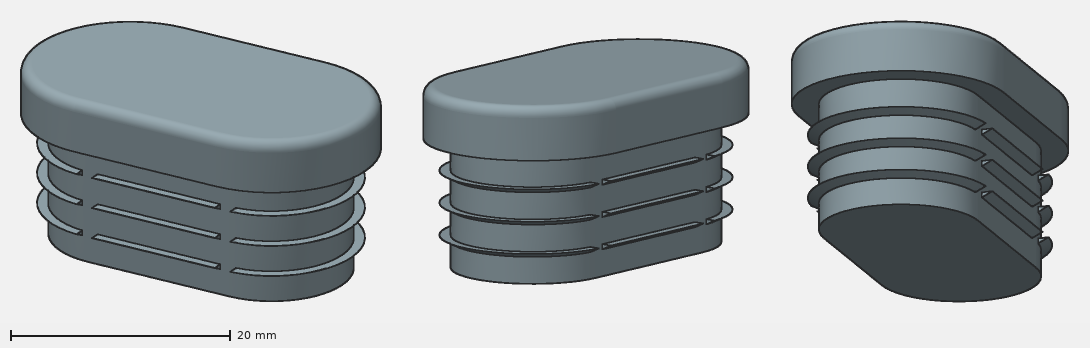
import cadquery as cq

cap_length = 35.0
cap_width = 20.0
cap_height = 5.0
cap_edge_radius = 1.0

plug_inset = 2.5
plug_height = 12.0
plug_length = cap_length - 2 * plug_inset
plug_width = cap_width - 2 * plug_inset
plug_radius = plug_width / 2
end_center_x = (plug_length - plug_width) / 2

fin_count = 3
fin_pitch = 3.0
fin_reach = 1.0
fin_thickness = 0.5
straight_fin_half_length = 6.5
end_fin_start_x = 8.15
fin_root_depth = 0.35


def stadium(length, width, height):
    return cq.Workplane("XY").slot2D(length, width).extrude(height)


def fin_profile(plane, wall, top_z):
    """Fin section on a plane whose second axis is Z, with the plug wall at the given distance."""
    root = wall - fin_root_depth
    bottom_z = top_z - fin_thickness
    points = [(root, bottom_z), (wall, bottom_z), (wall + fin_reach, top_z), (root, top_z)]
    return cq.Workplane(plane).polyline(points).close()


def straight_fin(top_z):
    """Fin along the flat +Y wall."""
    return fin_profile("YZ", plug_radius, top_z).extrude(straight_fin_half_length, both=True)


def end_fin(top_z):
    """Fin around the round +X end, cut off square where the gap begins."""
    ring = fin_profile("XZ", plug_radius, top_z).revolve(360, (0, 0), (0, 1))
    ring = ring.translate((end_center_x, 0, 0))
    kept_region = cq.Workplane("XY").box(
        cap_length, cap_width, plug_height, centered=(False, True, False)
    ).translate((end_fin_start_x, 0, 0))
    return ring.intersect(kept_region)


plug = stadium(plug_length, plug_width, plug_height)
cap = stadium(cap_length, cap_width, cap_height).faces(">Z").edges().fillet(cap_edge_radius)
result = plug.union(cap.translate((0, 0, plug_height)))

for level in range(1, fin_count + 1):
    fin_top_z = level * fin_pitch
    side = straight_fin(fin_top_z)
    end = end_fin(fin_top_z)
    result = result.union(side).union(side.mirror("XZ"))
    result = result.union(end).union(end.mirror("YZ"))